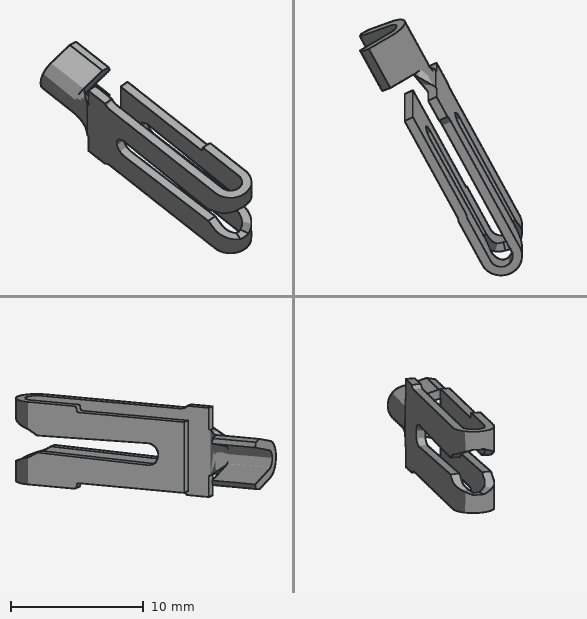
import cadquery as cq
import math


total_length = 20.65
plate_height = 6.86
thickness = 0.711

clip_depth = 3.175
clip_height = 6.35
bend_radius = clip_depth / 2
bend_center_x = total_length - bend_radius
front_leg_start = 5.24
back_leg_start = 6.16

shoulder_end = 7.05
shoulder_radius = 0.762

narrow_end = 14.88
narrow_depth = 0.45
narrow_radius = 0.19

slot_start = 8.32
slot_round_radius = 0.84
slot_throat_x = 18.32
slot_throat_half = 0.65
slot_flare_half = 1.07

slot_mouth_half = 1.76
mouth_angle = 75
flare_steps = 5
slot_cut_inner = bend_radius - 2 * thickness
slot_cut_outer = bend_radius + thickness

barrel_length = 3.57
barrel_depth = 3.81
barrel_inner_radius = 0.762
barrel_outer_radius = barrel_inner_radius + thickness
barrel_center_y = barrel_outer_radius
wing_angle = math.radians(15)
bevel_start_y = 3.05
tip_thickness = 0.40

neck_root_x = 5.12
neck_root_half = 1.75


def barrel_point(radius):
    """(y, z) where the arc of this radius runs into the straight upper wing."""
    return barrel_center_y - radius * math.sin(wing_angle), radius * math.cos(wing_angle)


def wing_point_at(radius, y):
    """(y, z) where the straight wing face of this radius reaches the given y."""
    start_y, start_z = barrel_point(radius)
    return y, start_z + (y - start_y) * math.tan(wing_angle)


def mirrored(point):
    return point[0], -point[1]


def both_sides(solid):
    return solid.union(solid.mirror("XY"))


def make_clip():
    """Strip folded into a U, before any edge is trimmed."""
    inner_radius = bend_radius - thickness
    return (
        cq.Workplane("XY")
        .workplane(offset=-plate_height / 2)
        .moveTo(front_leg_start, 0)
        .lineTo(bend_center_x, 0)
        .threePointArc((total_length, bend_radius), (bend_center_x, clip_depth))
        .lineTo(back_leg_start, clip_depth)
        .lineTo(back_leg_start, clip_depth - thickness)
        .lineTo(bend_center_x, clip_depth - thickness)
        .threePointArc((bend_center_x + inner_radius, bend_radius), (bend_center_x, thickness))
        .lineTo(front_leg_start, thickness)
        .close()
        .extrude(plate_height)
    )


def make_shoulder_trim():
    """Waste above the front leg and bend, with the concave blend at the shoulder."""
    top = plate_height / 2
    low = clip_height / 2
    step = top - low
    blend_length = math.sqrt(shoulder_radius**2 - (shoulder_radius - step) ** 2)
    blend_end = shoulder_end + blend_length
    waste = (
        cq.Workplane("XZ")
        .moveTo(total_length, top)
        .lineTo(shoulder_end, top)
        .radiusArc((blend_end, low), -shoulder_radius)
        .lineTo(total_length, low)
        .close()
        .extrude(-clip_depth)
    )
    return both_sides(waste)


def make_back_leg_trim():
    """Waste above the narrowed end of the back leg, ending in an S-shaped step."""
    top = plate_height / 2
    high = clip_height / 2
    low = high - narrow_depth
    step_x = narrow_end + narrow_radius
    waste = (
        cq.Workplane("XZ", origin=(0, clip_depth, 0))
        .moveTo(back_leg_start, low)
        .lineTo(narrow_end, low)
        .radiusArc((step_x, low + narrow_radius), -narrow_radius)
        .lineTo(step_x, high - narrow_radius)
        .radiusArc((step_x + narrow_radius, high), narrow_radius)
        .lineTo(step_x + narrow_radius, top)
        .lineTo(back_leg_start, top)
        .close()
        .extrude(thickness)
    )
    return both_sides(waste)


def make_leg_slot():
    """Slot through both legs: round end, slowly closing sides and a flare to the bend."""
    round_x = slot_start + slot_round_radius
    return (
        cq.Workplane("XZ")
        .moveTo(round_x, -slot_round_radius)
        .threePointArc((slot_start, 0), (round_x, slot_round_radius))
        .lineTo(slot_throat_x, slot_throat_half)
        .lineTo(bend_center_x, slot_flare_half)
        .lineTo(bend_center_x, -slot_flare_half)
        .lineTo(slot_throat_x, -slot_throat_half)
        .close()
        .extrude(-clip_depth)
    )


def make_bend_section(angle):
    """Rectangle across the slot, in the radial plane at this angle around the bend."""
    half = slot_flare_half + (slot_mouth_half - slot_flare_half) * angle / mouth_angle
    turn = math.radians(angle)
    corners = []
    for radius, z in (
        (slot_cut_inner, -half),
        (slot_cut_outer, -half),
        (slot_cut_outer, half),
        (slot_cut_inner, half),
    ):
        x = bend_center_x + radius * math.sin(turn)
        y = bend_radius - radius * math.cos(turn)
        corners.append(cq.Vector(x, y, z))
    return cq.Wire.makePolygon(corners, close=True)


def make_bend_slot():
    """Cutters for the slot around the bend, widening from each leg to a parallel mouth."""
    angles = [mouth_angle * i / flare_steps for i in range(flare_steps + 1)]
    flare = cq.Workplane(cq.Solid.makeLoft([make_bend_section(a) for a in angles]))
    mouth_start = cq.Face.makeFromWires(make_bend_section(mouth_angle))
    mouth = cq.Solid.revolve(
        mouth_start,
        180 - 2 * mouth_angle,
        cq.Vector(bend_center_x, bend_radius, 0),
        cq.Vector(bend_center_x, bend_radius, 1),
    )
    far_flare = flare.mirror("XZ", (0, bend_radius, 0))
    return flare, cq.Workplane(mouth), far_flare


def make_barrel():
    """Open V-shaped crimp barrel with bevelled wing tips."""
    outer_tangent = barrel_point(barrel_outer_radius)
    inner_tangent = barrel_point(barrel_inner_radius)
    bevel_start = wing_point_at(barrel_outer_radius, bevel_start_y)
    tip_inner = wing_point_at(barrel_inner_radius, barrel_depth)
    tip_outer = (
        tip_inner[0] - tip_thickness * math.sin(wing_angle),
        tip_inner[1] + tip_thickness * math.cos(wing_angle),
    )
    return (
        cq.Workplane("YZ")
        .moveTo(*mirrored(outer_tangent))
        .threePointArc((0, 0), outer_tangent)
        .lineTo(*bevel_start)
        .lineTo(*tip_outer)
        .lineTo(*tip_inner)
        .lineTo(*inner_tangent)
        .threePointArc((thickness, 0), mirrored(inner_tangent))
        .lineTo(*mirrored(tip_inner))
        .lineTo(*mirrored(tip_outer))
        .lineTo(*mirrored(bevel_start))
        .close()
        .extrude(barrel_length)
    )


def make_neck():
    """Strip-thick neck that flattens the barrel's curved back into the front leg."""
    outer_edge = barrel_point(barrel_outer_radius)
    inner_edge = barrel_point(barrel_inner_radius)
    barrel_end = (
        cq.Workplane("YZ", origin=(barrel_length, 0, 0))
        .moveTo(*mirrored(outer_edge))
        .threePointArc((0, 0), outer_edge)
        .lineTo(*inner_edge)
        .threePointArc((thickness, 0), mirrored(inner_edge))
        .close()
    )
    root_end = (
        cq.Workplane("YZ", origin=(neck_root_x, 0, 0))
        .moveTo(0, -neck_root_half)
        .lineTo(0, neck_root_half)
        .lineTo(thickness, neck_root_half)
        .lineTo(thickness, -neck_root_half)
        .close()
    )
    sections = [barrel_end.val(), root_end.val()]
    return cq.Workplane(cq.Solid.makeLoft(sections, True))


def make_neck_root():
    """Short tab between the neck and the front leg, with concave corners."""
    flare = front_leg_start - neck_root_x
    flared_half = neck_root_half + flare
    return (
        cq.Workplane("XZ")
        .moveTo(neck_root_x, -neck_root_half)
        .lineTo(neck_root_x, neck_root_half)
        .radiusArc((front_leg_start, flared_half), -flare)
        .lineTo(front_leg_start, -flared_half)
        .radiusArc((neck_root_x, -neck_root_half), -flare)
        .close()
        .extrude(-thickness)
    )


clip = make_clip().cut(make_shoulder_trim()).cut(make_back_leg_trim()).cut(make_leg_slot())
for bend_cut in make_bend_slot():
    clip = clip.cut(bend_cut)
result = clip.union(make_neck_root()).union(make_neck()).union(make_barrel())